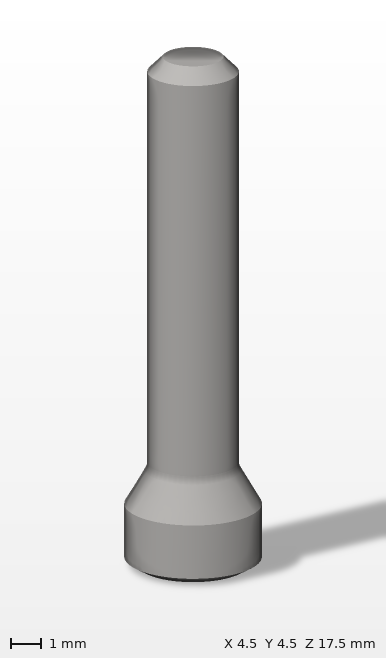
import cadquery as cq
import math

total_length = 17.5
head_diameter = 4.5
shank_diameter = 3.0

bevel_height = 0.26
bevel_width = 0.44
head_top = 2.1
shoulder_half_angle = 30.0

neck_radius = 0.5

tip_chamfer = 0.5

head_radius = head_diameter / 2
shank_radius = shank_diameter / 2

shoulder_angle = math.radians(shoulder_half_angle)
corner_z = head_top + (head_radius - shank_radius) / math.tan(shoulder_angle)

tangent_length = neck_radius * math.tan(shoulder_angle / 2)
neck_top = corner_z + tangent_length
neck_bottom_x = shank_radius + tangent_length * math.sin(shoulder_angle)
neck_bottom_z = corner_z - tangent_length * math.cos(shoulder_angle)
neck_mid_x = shank_radius + neck_radius * (1 - math.cos(shoulder_angle / 2))
neck_mid_z = neck_top - neck_radius * math.sin(shoulder_angle / 2)

profile = (
    cq.Workplane("XZ")
    .lineTo(head_radius - bevel_width, 0)
    .lineTo(head_radius, bevel_height)
    .lineTo(head_radius, head_top)
    .lineTo(neck_bottom_x, neck_bottom_z)
    .threePointArc((neck_mid_x, neck_mid_z), (shank_radius, neck_top))
    .lineTo(shank_radius, total_length - tip_chamfer)
    .lineTo(shank_radius - tip_chamfer, total_length)
    .lineTo(0, total_length)
    .close()
)

result = profile.revolve(360, (0, 0, 0), (0, 1, 0))